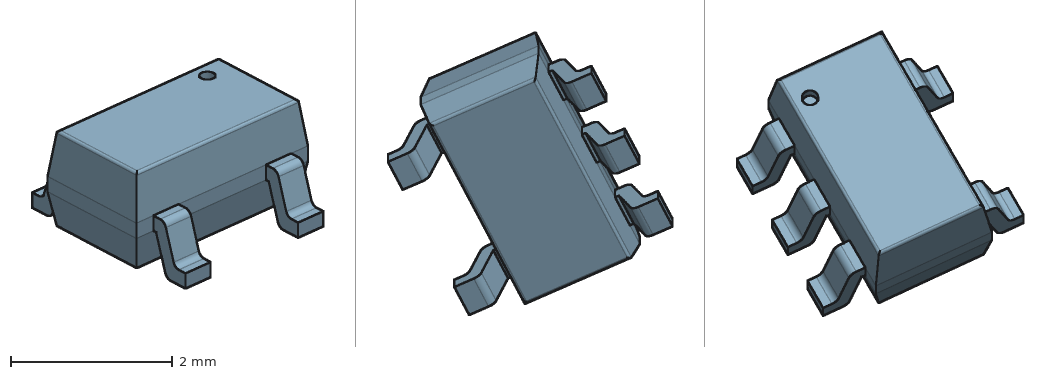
import cadquery as cq
import math

body_length = 2.9
body_width = 1.625
body_bottom = 0.075
body_top = 1.45
taper_inset = 0.085
edge_radius = 0.04

lead_span = 2.8
lead_thickness = 0.218
lead_width = 0.425
lead_pitch = 0.95
lead_bottom = 0.58
lead_top = lead_bottom + lead_thickness
leg_angle = 18.0
shoulder_corner_x = 0.865
shoulder_outer_x = 1.018
outer_bend_radius = 0.11
inner_bend_radius = 0.1

mark_diameter = 0.203
mark_depth = 0.145
mark_x = -0.487
mark_y = lead_pitch

lead_places = [(-1, -1), (-1, 0), (-1, 1), (1, -1), (1, 1)]


def tapered_half(base_z, end_z):
    """Half of the housing, narrowing from base_z to end_z."""
    return (
        cq.Workplane("XY", origin=(0, 0, base_z))
        .rect(body_width, body_length)
        .workplane(offset=end_z - base_z)
        .rect(body_width - 2 * taper_inset, body_length - 2 * taper_inset)
        .loft(ruled=True)
    )


def make_housing():
    """Housing with a straight belt at lead height, rounded rims and the pin 1 mark."""
    upper = tapered_half(lead_top, body_top).faces(">Z").edges().fillet(edge_radius)
    lower = tapered_half(lead_bottom, body_bottom).faces("<Z").edges().fillet(edge_radius)
    belt = (
        cq.Workplane("XY", origin=(0, 0, lead_bottom))
        .rect(body_width, body_length)
        .extrude(lead_thickness)
    )
    mark = (
        cq.Workplane("XY", origin=(mark_x, mark_y, body_top - mark_depth))
        .circle(mark_diameter / 2)
        .extrude(mark_depth)
    )
    return belt.union(upper).union(lower).cut(mark)


def make_lead(side, row):
    """One bent lead, ending flush against the housing wall."""
    lean = math.tan(math.radians(leg_angle))
    wall_x = body_width / 2
    tip_x = lead_span / 2
    heel_x = shoulder_corner_x + lead_bottom * lean
    foot_corner_x = shoulder_outer_x + lead_bottom * lean
    outline = [
        (wall_x, lead_bottom),
        (shoulder_corner_x, lead_bottom),
        (heel_x, 0),
        (tip_x, 0),
        (tip_x, lead_thickness),
        (foot_corner_x, lead_thickness),
        (shoulder_outer_x, lead_top),
        (wall_x, lead_top),
    ]

    def edge_at(x, z):
        """Select the bend edge that crosses the lead's mid-plane at x, z."""
        return cq.selectors.NearestToPointSelector((side * x, row * lead_pitch, z))

    lead = (
        cq.Workplane("XZ", origin=(0, row * lead_pitch, 0))
        .polyline([(side * x, z) for x, z in outline])
        .close()
        .extrude(lead_width / 2, both=True)
    )
    lead = lead.edges("|Y").edges(edge_at(shoulder_outer_x, lead_top)).fillet(outer_bend_radius)
    lead = lead.edges("|Y").edges(edge_at(heel_x, 0)).fillet(outer_bend_radius)
    return lead.edges("|Y").edges(edge_at(foot_corner_x, lead_thickness)).fillet(inner_bend_radius)


housing = make_housing()
leads = [make_lead(side, row) for side, row in lead_places]

result = cq.Compound.makeCompound([housing.solids().val(), *[lead.solids().val() for lead in leads]])